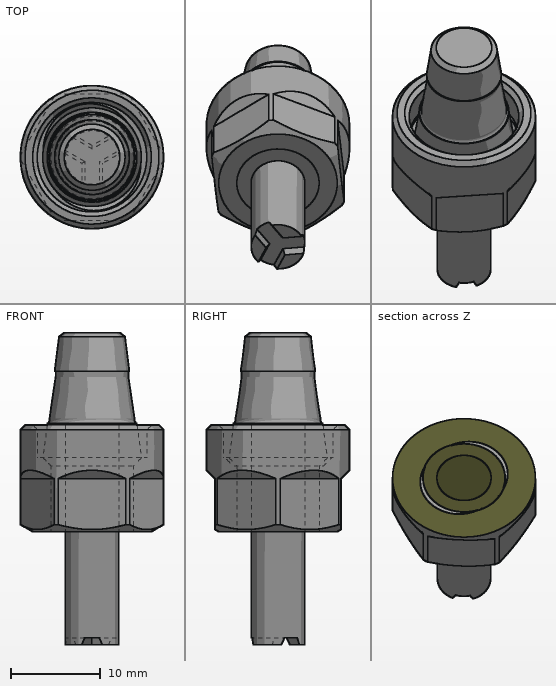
import cadquery as cq
import math

total_height = 34.85
nut_bottom = 12.62
nut_top = 24.55
seat_height = 20.9

nut_radius = 16.0 / 2
nut_bore_radius = 12.25 / 2
nut_bore_mouth_radius = 13.25 / 2
nut_top_chamfer = 0.52
nut_bottom_face_radius = 13.25 / 2
nut_bottom_chamfer_angle = 30.0
hex_across_flats = 14.12
hex_top = 18.55
seat_offset = 0.75
seat_offset_angle = 107.0
seat_recess_radius = 5.23

collet_max_radius = 11.0 / 2
collet_nose_radius = 9.2 / 2
collet_tip_face_radius = 3.1
collet_tip_radius = 3.7
collet_tip_chamfer_height = 0.45
collet_step_height = 30.55
collet_step_radius = 4.2
neck_radius = 4.08
neck_bottom = 29.9
cove_top = 25.27
cove_top_radius = 9.5 / 2
cove_bottom = 24.7
cove_bottom_radius = 4.95
ledge_radius = 5.02
ledge_height = 0.25

shank_radius = 6.0 / 2
shank_top = nut_top
slot_bottom_width = 2.3
slot_top_width = 1.65
slot_depth = 0.75
slot_count = 3
first_slot_angle = 30.0

seat_depth = collet_max_radius - collet_nose_radius


def revolve(outline):
    """Turn a closed (radius, z) sketch about the Z axis."""
    return outline.close().revolve(360, (0, 0, 0), (0, 1, 0))


def seat_cone(rim_radius):
    """Countersink-shaped body under the floor of the nut bore."""
    nose_height = seat_height - seat_depth
    return revolve(
        cq.Workplane("XZ").moveTo(0, nose_height).lineTo(rim_radius - seat_depth, nose_height)
        .lineTo(rim_radius, seat_height).lineTo(0, seat_height)
    )


def cut_hex_flats(body):
    """Six flats below hex_top, each running out at 45 degrees into the cylinder."""
    flat_distance = hex_across_flats / 2
    cutter_depth = nut_radius - flat_distance + 0.35
    flat_cutter = (
        cq.Workplane("XZ").moveTo(flat_distance, nut_bottom).lineTo(flat_distance, hex_top)
        .lineTo(flat_distance + cutter_depth, hex_top + cutter_depth)
        .lineTo(flat_distance + cutter_depth, nut_bottom).close()
        .extrude(nut_radius, both=True)
    )
    for index in range(6):
        body = body.cut(flat_cutter.rotate((0, 0, 0), (0, 0, 1), 30 + 60 * index))
    return body


def make_nut():
    """Clamping nut: chamfered round collar, hexagon, bore and eccentric collet seat."""
    bottom_chamfer = (nut_radius - nut_bottom_face_radius) * math.tan(
        math.radians(nut_bottom_chamfer_angle)
    )
    mouth_chamfer = nut_bore_mouth_radius - nut_bore_radius
    nut = revolve(
        cq.Workplane("XZ").moveTo(collet_nose_radius, nut_bottom)
        .lineTo(nut_bottom_face_radius, nut_bottom)
        .lineTo(nut_radius, nut_bottom + bottom_chamfer)
        .lineTo(nut_radius, nut_top - nut_top_chamfer)
        .lineTo(nut_radius - nut_top_chamfer, nut_top)
        .lineTo(nut_bore_mouth_radius, nut_top)
        .lineTo(nut_bore_radius, nut_top - mouth_chamfer)
        .lineTo(nut_bore_radius, seat_height)
        .lineTo(collet_nose_radius, seat_height)
    )
    nut = cut_hex_flats(nut)

    offset_x = seat_offset * math.cos(math.radians(seat_offset_angle))
    offset_y = seat_offset * math.sin(math.radians(seat_offset_angle))
    nut = nut.cut(seat_cone(collet_max_radius))
    for side in (-1, 1):
        nut = nut.cut(seat_cone(seat_recess_radius).translate((side * offset_x, side * offset_y, 0)))
    return nut


def make_collet():
    """Tapered collet with a stepped neck, a cove and a blind shank hole."""
    tip_chamfer_bottom = total_height - collet_tip_chamfer_height
    cove_middle = (
        cove_top_radius + 0.3 * (cove_bottom_radius - cove_top_radius),
        cove_bottom + 0.3 * (cove_top - cove_bottom),
    )
    return revolve(
        cq.Workplane("XZ").moveTo(0, shank_top).lineTo(0, total_height)
        .lineTo(collet_tip_face_radius, total_height)
        .lineTo(collet_tip_radius, tip_chamfer_bottom)
        .lineTo(collet_step_radius, collet_step_height)
        .lineTo(neck_radius, collet_step_height)
        .lineTo(neck_radius, neck_bottom)
        .lineTo(cove_top_radius, cove_top)
        .threePointArc(cove_middle, (cove_bottom_radius, cove_bottom))
        .lineTo(ledge_radius, cove_bottom)
        .lineTo(ledge_radius, cove_bottom - ledge_height)
        .lineTo(collet_max_radius, seat_height)
        .lineTo(collet_nose_radius, seat_height - seat_depth)
        .lineTo(collet_nose_radius, nut_bottom)
        .lineTo(shank_radius, nut_bottom)
        .lineTo(shank_radius, shank_top)
    )


def make_shank():
    """Round tool shank with trapezoidal slots running from its axis to its rim."""
    shank = cq.Workplane("XY").circle(shank_radius).extrude(shank_top)
    slot = (
        cq.Workplane("YZ").moveTo(-slot_bottom_width / 2, 0).lineTo(slot_bottom_width / 2, 0)
        .lineTo(slot_top_width / 2, slot_depth).lineTo(-slot_top_width / 2, slot_depth).close()
        .extrude(shank_radius)
    )
    for index in range(slot_count):
        angle = first_slot_angle + index * 360 / slot_count
        shank = shank.cut(slot.rotate((0, 0, 0), (0, 0, 1), angle))
    return shank


nut = make_nut()
collet = make_collet()
shank = make_shank()

result = cq.Compound.makeCompound([nut.val(), collet.val(), shank.val()])